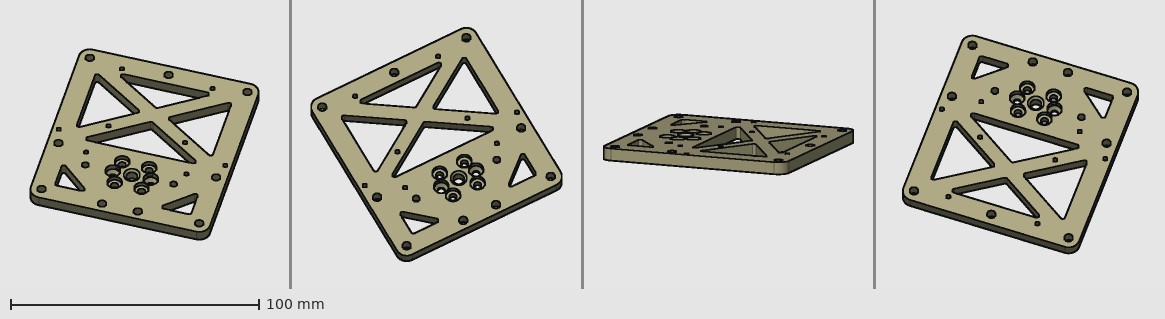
import cadquery as cq
import math

width = 75.0
length = 80.5
thickness = 5.0
corner_radius = 4.5
half_width = width / 2
half_length = length / 2

mount_diameter = 3.5
mount_x = half_width - corner_radius
mount_y = half_length - corner_radius
mid_mount_y = -10.7
rear_pair_x = 7.5
rear_pair_y = -36.5

window_margin = 9.0
window_fillet = 1.0
window_x = half_width - window_margin
window_top = half_length - window_margin
window_bottom = -6.2
strut_width = 6.0
crossing_y = 14.0

corner_window_margin = 8.0
corner_window_width = 13.85
corner_window_height = 12.15
corner_window_bottom = corner_window_margin - half_length

pilot_diameter = 1.8
pilot_pairs = [(19.0, 33.7), (16.0, 3.5), (34.85, -3.7), (21.0, -12.2)]

cluster_y = -18.75
ring_radius = 8.0
screw_diameter = 3.05
recess_diameter = 6.0
flat_recess_depth = 2.0
conical_recess_depth = 2.5
flat_recess_angles = [45, 135, 225, 315]
conical_recess_angles = [0, 180]
centre_diameter = 4.5
centre_sink_diameter = 6.5

side_hole_diameter = 2.8
side_hole_xs = [-19.5, 17.5]


def mirrored(x, y):
    return [(-x, y), (x, y)]


def through_holes(points, diameter):
    return cq.Workplane("XY").pushPoints(points).circle(diameter / 2).extrude(thickness)


def window(corners):
    return cq.Workplane("XY").polyline(corners).close().extrude(thickness).edges("|Z").fillet(window_fillet)


def ring_points(angles):
    return [
        (ring_radius * math.cos(math.radians(a)), cluster_y + ring_radius * math.sin(math.radians(a)))
        for a in angles
    ]


def recess(point, diameter, depth):
    """Cylindrical pocket sunk into the top face."""
    return cq.Workplane("XY", origin=(*point, thickness - depth)).circle(diameter / 2).extrude(depth)


def cone(point, top_z, top_diameter, bottom_diameter):
    """45 degree cone narrowing downwards from top_z."""
    depth = (top_diameter - bottom_diameter) / 2
    solid = cq.Solid.makeCone(
        top_diameter / 2, bottom_diameter / 2, depth, cq.Vector(*point, top_z), cq.Vector(0, 0, -1)
    )
    return cq.Workplane(solid)


def strut_windows():
    """Four triangles left open around the crossing struts."""
    slope = (mount_y - crossing_y) / mount_x
    apex_rise = strut_width / 2 * math.hypot(1, slope)
    apex_x = apex_rise / slope
    cutters = []
    for direction, edge_y in [(1, window_top), (-1, window_bottom)]:
        apex_y = crossing_y + direction * apex_rise
        half_base = abs(edge_y - apex_y) / slope
        cutters.append(window([(0, apex_y), (-half_base, edge_y), (half_base, edge_y)]))
    half_side = (window_x - apex_x) * slope
    for side in (-1, 1):
        upper = (side * window_x, crossing_y + half_side)
        lower = (side * window_x, crossing_y - half_side)
        cutters.append(window([(side * apex_x, crossing_y), upper, lower]))
    return cutters


def corner_windows():
    cutters = []
    for side in (-1, 1):
        square_corner = (side * window_x, corner_window_bottom)
        upper = (side * window_x, corner_window_bottom + corner_window_height)
        inner = (side * (window_x - corner_window_width), corner_window_bottom)
        cutters.append(window([square_corner, upper, inner]))
    return cutters


def cluster():
    centre = (0, cluster_y)
    cutters = [
        through_holes(ring_points(flat_recess_angles + conical_recess_angles), screw_diameter),
        through_holes([centre], centre_diameter),
        cone(centre, thickness, centre_sink_diameter, centre_diameter),
    ]
    for point in ring_points(flat_recess_angles):
        cutters.append(recess(point, recess_diameter, flat_recess_depth))
    for point in ring_points(conical_recess_angles):
        cutters.append(recess(point, recess_diameter, conical_recess_depth))
        cutters.append(cone(point, thickness - conical_recess_depth, recess_diameter, screw_diameter))
    return cutters


mount_points = [(0, mount_y)]
for y in (mount_y, mid_mount_y, -mount_y):
    mount_points += mirrored(mount_x, y)
mount_points += mirrored(rear_pair_x, rear_pair_y)

pilot_points = []
for x, y in pilot_pairs:
    pilot_points += mirrored(x, y)

plate_holes = [
    through_holes(mount_points, mount_diameter),
    through_holes(pilot_points, pilot_diameter),
    through_holes([(x, cluster_y) for x in side_hole_xs], side_hole_diameter),
]

result = cq.Workplane("XY").rect(width, length).extrude(thickness).edges("|Z").fillet(corner_radius)
for cutter in plate_holes + strut_windows() + corner_windows() + cluster():
    result = result.cut(cutter)